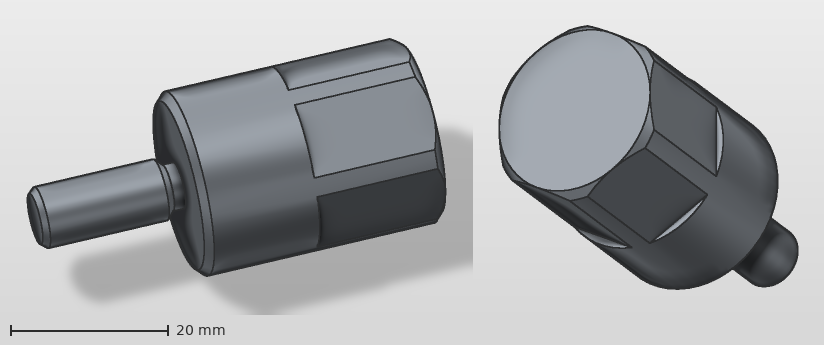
import cadquery as cq

total_length = 51.0
body_length = 32.0
body_diameter = 24.0
body_chamfer = 1.0
flat_count = 6
hex_length = 17.0
hex_across_flats = 22.0
stud_diameter = 8.0
tip_diameter = 6.65
tip_chamfer_length = 0.8
neck_diameter = 6.0
neck_length = 1.5

body_radius = body_diameter / 2
stud_radius = stud_diameter / 2
neck_radius = neck_diameter / 2
tip_radius = tip_diameter / 2
stud_length = total_length - body_length
neck_cone_length = stud_radius - neck_radius
hex_start = body_length - hex_length


def turned_body():
    """Cylinder with both ends chamfered, necked stud and chamfered stud tip."""
    profile = (
        cq.Workplane("XY")
        .moveTo(0, -stud_length)
        .lineTo(tip_radius, -stud_length)
        .lineTo(stud_radius, -stud_length + tip_chamfer_length)
        .lineTo(stud_radius, -neck_length - neck_cone_length)
        .lineTo(neck_radius, -neck_length)
        .lineTo(neck_radius, 0)
        .lineTo(body_radius - body_chamfer, 0)
        .lineTo(body_radius, body_chamfer)
        .lineTo(body_radius, body_length - body_chamfer)
        .lineTo(body_radius - body_chamfer, body_length)
        .lineTo(0, body_length)
        .close()
    )
    return profile.revolve(360, (0, 0, 0), (0, 1, 0))


def flat_cutter(angle):
    """Block that removes everything outside one wrench flat."""
    block = cq.Workplane("XY").box(
        body_radius, hex_length, body_diameter, centered=(False, False, True)
    )
    block = block.translate((hex_across_flats / 2, hex_start, 0))
    return block.rotate((0, 0, 0), (0, 1, 0), angle)


result = turned_body()

for index in range(flat_count):
    result = result.cut(flat_cutter(index * 360 / flat_count))